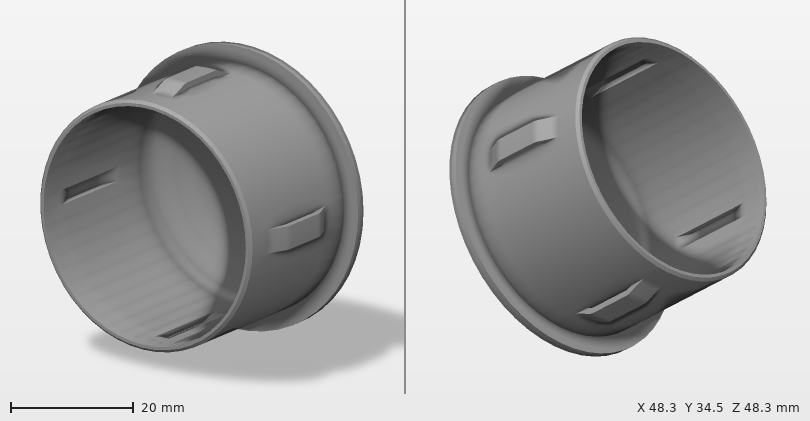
import cadquery as cq
import math

rim_radius = 24.15
rim_thickness = 1.5
dome_rise = 7.0
barrel_length = 26.0
barrel_radius = 21.25
wall = 1.0
dome_thickness = 1.5
end_chamfer = 0.5
corner_radius = 2.0

clip_count = 4
clip_length = 17.0
clip_flat_length = 7.55
clip_width = 4.0
slot_width = 2.5
clip_rise = 1.5
clip_bend_radius = 3.0
clip_middle_y = -barrel_length / 2

bore_radius = barrel_radius - wall
dome_radius = (rim_radius**2 + dome_rise**2) / (2 * dome_rise)
apex_y = rim_thickness + dome_rise
dome_center_y = apex_y - dome_radius
inner_dome_radius = dome_radius - dome_thickness
clip_half_length = clip_length / 2
clip_half_flat = clip_flat_length / 2
slot_depth = 2 * wall


def on_arc(center, radius, angle):
    """Point on a circle, with the angle measured from the first axis."""
    return (center[0] + radius * math.cos(angle), center[1] + radius * math.sin(angle))


def make_cap():
    """Revolve the half section (radius, Y) of the domed cap about the Y axis."""
    dome_center = (0, dome_center_y)
    rim_angle = math.acos(rim_radius / dome_radius)
    dome_middle = on_arc(dome_center, dome_radius, (rim_angle + math.pi / 2) / 2)

    corner_center_radius = bore_radius - corner_radius
    corner_angle = math.acos(corner_center_radius / (inner_dome_radius - corner_radius))
    corner_center = on_arc(dome_center, inner_dome_radius - corner_radius, corner_angle)
    corner_middle = on_arc(corner_center, corner_radius, corner_angle / 2)
    corner_end = on_arc(dome_center, inner_dome_radius, corner_angle)
    inner_middle = on_arc(dome_center, inner_dome_radius, (corner_angle + math.pi / 2) / 2)

    section = (
        cq.Workplane("XY")
        .moveTo(0, apex_y)
        .threePointArc(dome_middle, (rim_radius, rim_thickness))
        .lineTo(rim_radius, 0)
        .lineTo(barrel_radius, 0)
        .lineTo(barrel_radius, end_chamfer - barrel_length)
        .lineTo(barrel_radius - end_chamfer, -barrel_length)
        .lineTo(bore_radius, -barrel_length)
        .lineTo(bore_radius, corner_center[1])
        .threePointArc(corner_middle, corner_end)
        .threePointArc(inner_middle, (0, apex_y - dome_thickness))
        .close()
    )
    return section.revolve(360, (0, 0, 0), (0, 1, 0))


def clip_ramp_angle():
    """Slope at which two equal bends and a straight ramp span the clip's run and rise."""
    run = clip_half_length - clip_half_flat
    bends_apart = 2 * clip_bend_radius - clip_rise
    slope_to_ramp = math.asin(2 * clip_bend_radius / math.hypot(run, bends_apart))
    return slope_to_ramp - math.atan2(bends_apart, run)


def make_clip():
    """Bowed strip on the +X side, curved with the barrel and cut to a straight width."""
    ramp = clip_ramp_angle()
    foot_y = clip_half_length
    foot_center = (barrel_radius + clip_bend_radius, foot_y)
    crown_center = (barrel_radius + clip_rise - clip_bend_radius, clip_half_flat)

    def half_face(depth):
        """Points (radius, Y) from foot to crown of the face this deep below the outside."""
        foot_bend = clip_bend_radius + depth
        crown_bend = clip_bend_radius - depth
        return [
            (barrel_radius - depth, foot_y),
            on_arc(foot_center, foot_bend, math.pi + ramp / 2),
            on_arc(foot_center, foot_bend, math.pi + ramp),
            on_arc(crown_center, crown_bend, ramp),
            on_arc(crown_center, crown_bend, ramp / 2),
            (barrel_radius + clip_rise - depth, clip_half_flat),
        ]

    def draw_face(path, points):
        """Continue the path along bend, ramp, bend, flat, bend, ramp, bend."""
        mirrored = [(radius, -y) for radius, y in reversed(points)]
        return (
            path.threePointArc(points[1], points[2])
            .lineTo(*points[3])
            .threePointArc(points[4], points[5])
            .lineTo(*mirrored[0])
            .threePointArc(mirrored[1], mirrored[2])
            .lineTo(*mirrored[3])
            .threePointArc(mirrored[4], mirrored[5])
        )

    outer = half_face(0)
    inner = [(radius, -y) for radius, y in half_face(wall)]
    path = draw_face(cq.Workplane("XY").moveTo(*outer[0]), outer)
    path = draw_face(path.lineTo(*inner[0]), inner)
    ring = path.close().revolve(360, (0, 0, 0), (0, 1, 0))
    strip = cq.Workplane("XY").box(rim_radius, clip_length, clip_width, centered=(False, True, True))
    return ring.intersect(strip).translate((0, clip_middle_y, 0))


def make_slot():
    """Opening in the barrel wall behind the clip on the +X side."""
    slot = cq.Workplane("XY").box(slot_depth, clip_length, slot_width)
    return slot.translate((barrel_radius - wall / 2, clip_middle_y, 0))


result = make_cap()
clip = make_clip()
slot = make_slot()
for index in range(clip_count):
    turn = index * 360 / clip_count
    result = result.cut(slot.rotate((0, 0, 0), (0, 1, 0), turn))
    result = result.union(clip.rotate((0, 0, 0), (0, 1, 0), turn))